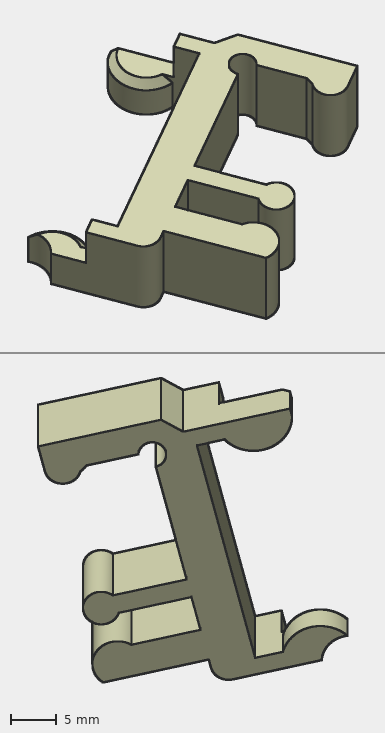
import cadquery as cq
import math

height = 10.0
hook_height = 4.98
hook_chamfer = 1.0

spine_left = 11.0
spine_right = 16.0
frame_top = 31.0
wall = 2.0
wall_left = 8.02
corner_radius = 2.0

hook_x = 4.12
hook_radius = 4.25
notch_x = 0.92
notch_y = -0.9
notch_radius = 3.17

plate_top = 33.0
plate_left = 12.05

finger_right = 27.95
bead_x = 25.95
bead_radius = finger_right - bead_x
upper_finger_bottom = 29.45
upper_bead_y = 29.83
relief_radius = 1.52
relief_y = 29.05
ramp_left = 23.3
ramp_contact_angle = 61

middle_bead_y = 11.98
middle_finger_bottom = 10.95
middle_finger_top = 13.2

lower_finger_bottom = 3.0
lower_finger_top = 6.8
lower_bead_radius = 2.8
lower_finger_right = 28.6
lower_bead_x = lower_finger_right - lower_bead_radius
lower_bead_y = 4.85


def block(x0, x1, y0, y1, top=height):
    """Box standing on Z = 0 between the given limits."""
    return cq.Workplane("XY").box(x1 - x0, y1 - y0, top, centered=False).translate((x0, y0, 0))


def post(x, y, radius, top=height):
    """Round post standing on Z = 0."""
    return cq.Workplane("XY").center(x, y).circle(radius).extrude(top)


def prism(points):
    """Full-height prism over a polygon."""
    return cq.Workplane("XY").polyline(points).close().extrude(height)


def make_frame():
    spine = block(spine_left, spine_right, 0, frame_top).edges("|Z and >X and <Y").fillet(corner_radius)
    frame = spine
    for y in (0, frame_top - wall):
        frame = frame.union(block(wall_left, spine_left, y, y + wall))
        frame = frame.union(block(hook_x, wall_left, y, y + wall, hook_height))
    return frame


def make_hooks():
    keep = block(0, wall_left, 0, frame_top, hook_height)
    hooks = cq.Workplane("XY")
    for y in (0, frame_top):
        hook = post(hook_x, y, hook_radius, hook_height).faces(">Z").chamfer(hook_chamfer)
        hooks = hooks.add(hook.intersect(keep))
    return hooks.combine()


def make_plate():
    rise = plate_top - frame_top
    return prism([
        (plate_left, frame_top),
        (plate_left + rise, plate_top),
        (finger_right, plate_top),
        (finger_right, frame_top),
    ])


def make_upper_finger():
    angle = math.radians(ramp_contact_angle)
    contact_x = bead_x - bead_radius * math.sin(angle)
    contact_y = upper_bead_y - bead_radius * math.cos(angle)
    finger = block(spine_right, finger_right, upper_bead_y, frame_top)
    ramp = prism([
        (spine_right, upper_bead_y),
        (spine_right, upper_finger_bottom),
        (ramp_left, upper_finger_bottom),
        (contact_x, contact_y),
        (bead_x, upper_bead_y),
    ])
    bead = post(bead_x, upper_bead_y, bead_radius)
    keep = block(spine_right, finger_right, 0, frame_top)
    return finger.union(ramp).union(bead.intersect(keep))


def make_middle_finger():
    finger = block(spine_right, bead_x, middle_finger_bottom, middle_finger_top)
    return finger.union(post(bead_x, middle_bead_y, bead_radius))


def make_lower_finger():
    finger = block(spine_right, lower_bead_x, lower_finger_bottom, lower_finger_top)
    bead = post(lower_bead_x, lower_bead_y, lower_bead_radius)
    keep = block(spine_right, lower_finger_right, lower_finger_bottom, frame_top)
    return finger.union(bead.intersect(keep))


result = (
    make_frame()
    .union(make_hooks())
    .union(make_plate())
    .union(make_upper_finger())
    .union(make_middle_finger())
    .union(make_lower_finger())
    .cut(post(spine_right, relief_y, relief_radius))
    .cut(post(notch_x, notch_y, notch_radius))
)